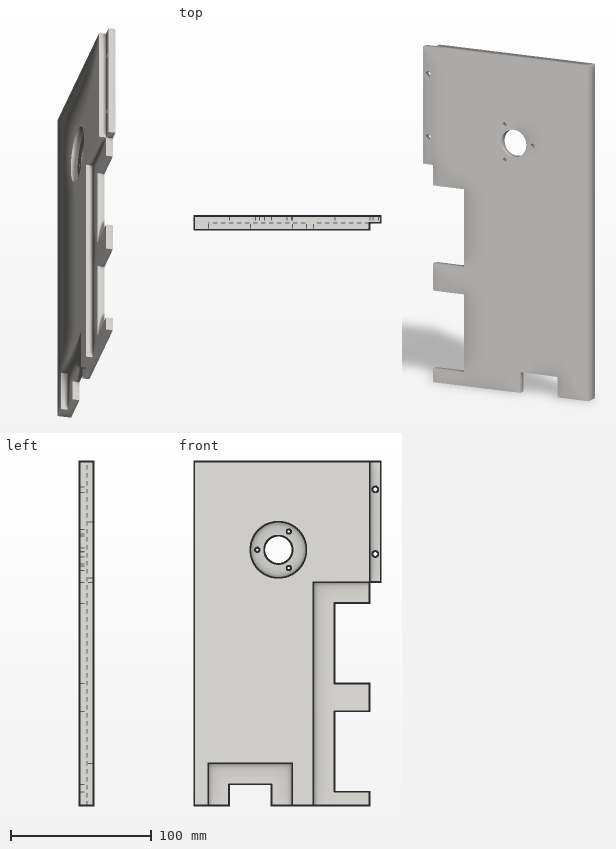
import cadquery as cq
import math

plate_width = 125.0
plate_thickness = 10.0
plate_height = 245.0

lip_width = 8.0
lip_thickness = 5.0
lip_bottom = 159.0
lip_hole_diameter = 4.0
lip_hole_x = plate_width + lip_width / 2
lip_hole_heights = (179.0, 225.0)

rebate_left = 85.0
rebate_depth = 5.0

notch_left = 100.0
notch_height = 57.0
notch_bottoms = (10.0, 87.0)

pocket_left = 10.0
pocket_width = 60.0
pocket_height = 30.0
pocket_depth = 5.0
pocket_notch_width = 30.0
pocket_notch_height = 15.0

bore_x = 60.0
bore_z = 182.0
bore_diameter = 20.0
counterbore_diameter = 40.0
counterbore_depth = 5.0
screw_hole_diameter = 3.0
screw_circle_radius = 15.0
screw_hole_count = 3
first_screw_angle = 60.0


def block(left, bottom, width, height, front, depth):
    """Box given by its left, bottom and front sides."""
    return cq.Workplane("XY").box(width, depth, height, centered=False).translate((left, front, bottom))


def cylinder(x, z, diameter, depth):
    """Cylinder running from the front face into the plate."""
    circle = cq.Workplane("XZ", origin=(x, 0, z)).circle(diameter / 2)
    return circle.extrude(-depth)


def make_plate():
    plate = block(0, 0, plate_width, plate_height, 0, plate_thickness)
    lip_front = plate_thickness - lip_thickness
    lip_height = plate_height - lip_bottom
    lip = block(plate_width, lip_bottom, lip_width, lip_height, lip_front, lip_thickness)
    return plate.union(lip)


def cut_lip_holes(body):
    for height in lip_hole_heights:
        body = body.cut(cylinder(lip_hole_x, height, lip_hole_diameter, plate_thickness))
    return body


def cut_edge_rebate(body):
    rebate_width = plate_width - rebate_left
    body = body.cut(block(rebate_left, 0, rebate_width, lip_bottom, 0, rebate_depth))
    notch_width = plate_width - notch_left
    for bottom in notch_bottoms:
        body = body.cut(block(notch_left, bottom, notch_width, notch_height, 0, plate_thickness))
    return body


def cut_bottom_pocket(body):
    body = body.cut(block(pocket_left, 0, pocket_width, pocket_height, 0, pocket_depth))
    notch_start = pocket_left + (pocket_width - pocket_notch_width) / 2
    notch = block(notch_start, 0, pocket_notch_width, pocket_notch_height, 0, plate_thickness)
    return body.cut(notch)


def cut_bore(body):
    body = body.cut(cylinder(bore_x, bore_z, counterbore_diameter, counterbore_depth))
    body = body.cut(cylinder(bore_x, bore_z, bore_diameter, plate_thickness))
    for index in range(screw_hole_count):
        angle = math.radians(first_screw_angle + index * 360 / screw_hole_count)
        x = bore_x + screw_circle_radius * math.cos(angle)
        z = bore_z + screw_circle_radius * math.sin(angle)
        body = body.cut(cylinder(x, z, screw_hole_diameter, plate_thickness))
    return body


result = make_plate()
result = cut_lip_holes(result)
result = cut_edge_rebate(result)
result = cut_bottom_pocket(result)
result = cut_bore(result)